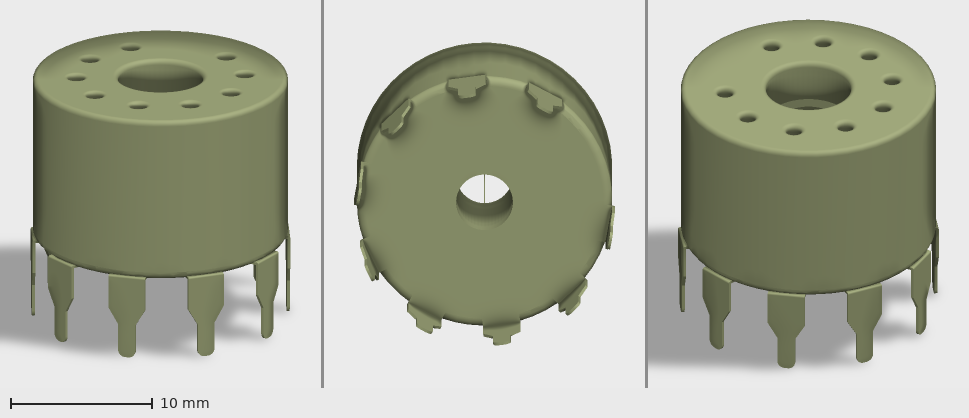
import cadquery as cq

HOUSING_DIAMETER = 18.0
HOUSING_HEIGHT = 12.0
TOP_ROUND = 0.36
BOTTOM_ROUND = 0.6

RECESS_DIAMETER = 6.0
RECESS_DEPTH = 3.0
BORE_DIAMETER = 4.0
SHELF_Z = HOUSING_HEIGHT - RECESS_DEPTH

PLACES = 10
EMPTY_PLACE_ANGLE = 90
PITCH_ANGLE = 360 / PLACES
CONTACT_ANGLES = [EMPTY_PLACE_ANGLE + PITCH_ANGLE * place for place in range(1, PLACES)]

SOCKET_HOLE_DIAMETER = 1.01
SOCKET_HOLE_DEPTH = RECESS_DEPTH
SOCKET_CIRCLE_RADIUS = 5.94

LEAD_THICKNESS = 0.2
LEAD_OUTER_RADIUS = 9.1
LEAD_WIDTH = 2.65
LEAD_TIP_WIDTH = 1.25
LEAD_SHOULDER_Z = -2.26
LEAD_NECK_Z = -3.44
LEAD_TIP_Z = -5.89
LEAD_TIP_ROUND = 0.5
LEAD_BEND_ROUND = 0.13
LEAD_TAB_LENGTH = 1.09

CENTRE_PIN_DIAMETER = 0.1


def make_housing():
    """Cylinder with rounded ends, a stepped axial hole and blind contact holes."""
    top = cq.Workplane("XY", origin=(0, 0, HOUSING_HEIGHT))
    recess = top.circle(RECESS_DIAMETER / 2).extrude(-RECESS_DEPTH)
    socket_holes = (
        top.polarArray(SOCKET_CIRCLE_RADIUS, CONTACT_ANGLES[0], PITCH_ANGLE, len(CONTACT_ANGLES), fill=False)
        .circle(SOCKET_HOLE_DIAMETER / 2)
        .extrude(-SOCKET_HOLE_DEPTH)
    )
    housing = cq.Workplane("XY").circle(HOUSING_DIAMETER / 2).extrude(HOUSING_HEIGHT)
    housing = housing.cut(recess).cut(socket_holes)

    housing = housing.faces(">Z").edges().fillet(TOP_ROUND)
    housing = housing.faces("<Z").edges().fillet(BOTTOM_ROUND)
    bore = cq.Workplane("XY").circle(BORE_DIAMETER / 2).extrude(SHELF_Z)
    return housing.cut(bore)


def make_lead(angle):
    """L-shaped lead: a tab level with the housing floor and a blade that narrows down to a rounded tip."""
    half_width = LEAD_WIDTH / 2
    half_tip = LEAD_TIP_WIDTH / 2

    inner_radius = LEAD_OUTER_RADIUS - LEAD_THICKNESS
    strip = (
        cq.Workplane("XZ")
        .moveTo(LEAD_OUTER_RADIUS - LEAD_TAB_LENGTH, 0)
        .lineTo(inner_radius, 0)
        .lineTo(inner_radius, LEAD_TIP_Z)
        .lineTo(LEAD_OUTER_RADIUS, LEAD_TIP_Z)
        .lineTo(LEAD_OUTER_RADIUS, LEAD_THICKNESS)
        .lineTo(LEAD_OUTER_RADIUS - LEAD_TAB_LENGTH, LEAD_THICKNESS)
        .close()
        .extrude(half_width, both=True)
    )
    strip = strip.edges("|Y and >X and >Z").fillet(LEAD_BEND_ROUND)

    outline = (
        cq.Workplane("YZ")
        .polyline(
            [
                (-half_width, LEAD_THICKNESS),
                (-half_width, LEAD_SHOULDER_Z),
                (-half_tip, LEAD_NECK_Z),
                (-half_tip, LEAD_TIP_Z),
                (half_tip, LEAD_TIP_Z),
                (half_tip, LEAD_NECK_Z),
                (half_width, LEAD_SHOULDER_Z),
                (half_width, LEAD_THICKNESS),
            ]
        )
        .close()
        .extrude(LEAD_OUTER_RADIUS)
        .faces("<Z")
        .edges("|X")
        .fillet(LEAD_TIP_ROUND)
    )
    return strip.intersect(outline).rotate((0, 0, 0), (0, 0, 1), angle)


def make_socket():
    """Housing and its leads, joined as one solid."""
    socket = make_housing()
    for angle in CONTACT_ANGLES:
        socket = socket.union(make_lead(angle))
    return socket


def make_centre_pin():
    """Thin pin standing free on the axis, as tall as the bore around it."""
    return cq.Workplane("XY").circle(CENTRE_PIN_DIAMETER / 2).extrude(SHELF_Z)


socket = make_socket()
centre_pin = make_centre_pin()

result = cq.Compound.makeCompound([socket.val(), centre_pin.val()])